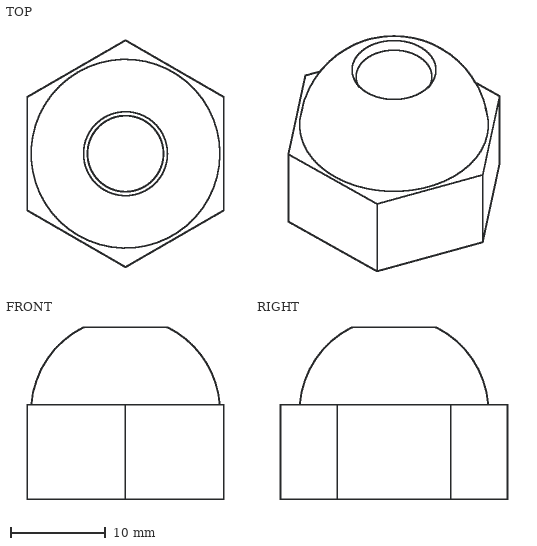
import cadquery as cq
import math

across_corners = 24.0
hex_height = 10.0

total_height = 18.2
dome_radius = 10.0
mouth_radius = 4.45

hole_radius = 4.0
mouth_depth = 1.0

sphere_center_z = total_height - math.sqrt(dome_radius**2 - mouth_radius**2)
dome_base_radius = math.sqrt(dome_radius**2 - (hex_height - sphere_center_z) ** 2)


def make_hex_base():
    return (
        cq.Workplane("XY")
        .polygon(6, across_corners)
        .extrude(hex_height)
        .rotate((0, 0, 0), (0, 0, 1), 30)
    )


def make_bored_dome():
    """Revolve the dome from the hex face to the rim, around the mouth and the hole."""
    arc_start_angle = math.asin((hex_height - sphere_center_z) / dome_radius)
    arc_end_angle = math.acos(mouth_radius / dome_radius)
    arc_middle_angle = (arc_start_angle + arc_end_angle) / 2
    arc_middle = (
        dome_radius * math.cos(arc_middle_angle),
        sphere_center_z + dome_radius * math.sin(arc_middle_angle),
    )
    return (
        cq.Workplane("XZ")
        .moveTo(hole_radius, hex_height)
        .lineTo(dome_base_radius, hex_height)
        .threePointArc(arc_middle, (mouth_radius, total_height))
        .lineTo(hole_radius, total_height - mouth_depth)
        .close()
        .revolve(360, (0, 0), (0, 1))
    )


def make_base_hole():
    return cq.Workplane("XY").circle(hole_radius).extrude(hex_height)


result = make_hex_base().cut(make_base_hole()).union(make_bored_dome())